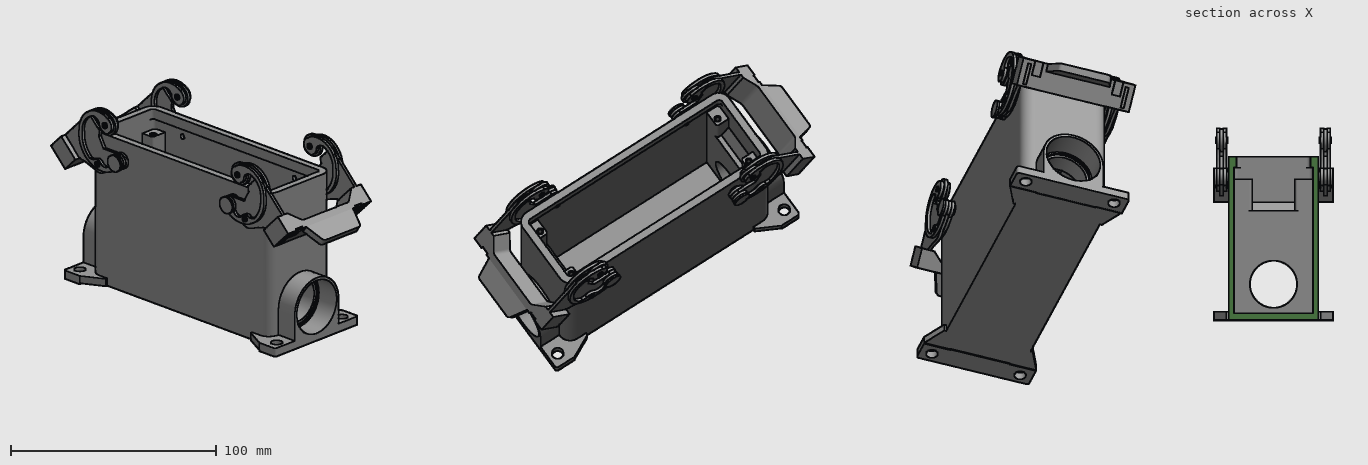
import cadquery as cq
import math


LEVER_REACH = 89.2

BODY_LENGTH = 121.4
BODY_WIDTH = 43.7
BODY_BOTTOM = 0.5
BODY_TOP = 80.0
BODY_CORNER = 6.0
END_WALL = 4.0
SIDE_WALL = 4.0
FLOOR_TOP = 3.7
CAVITY_CORNER = 1.8
CAVITY_LENGTH = BODY_LENGTH - 2 * END_WALL
CAVITY_WIDTH = BODY_WIDTH - 2 * SIDE_WALL
RIM_UNDERSIDE = 74.6
UNDERCUT = 1.2

POST_LENGTH = 7.0
POST_WIDTH = 7.5
POST_TOP = 69.0
POST_EMBEDMENT = 1.8
POST_ROUNDING = 1.2
POST_HOLE_RADIUS = 1.0
POST_HOLE_CHAMFER = 0.5
POST_HOLE_DEPTH = 14.3
POST_HOLE_INSET = 4.5
WEB_DEPTH = 4.3
WEB_TOP = 57.8

PORT_FACE = 71.8
PORT_HEIGHT = 17.8
PORT_RADIUS = 15.4
PORT_BORE_RADIUS = 14.0
PORT_BORE_END = 59.8
PORT_STEP_RADIUS = 12.9
PORT_STEP_END = 58.9
PORT_HOLE_RADIUS = 11.5

FOOT_WIDTH = 58.0
FOOT_TOP = 4.5
FOOT_CORNER = 1.2
FOOT_SHOULDER = BODY_LENGTH / 2 + 0.4
FOOT_TIP = 49.3
FOOT_TIP_HALF_WIDTH = BODY_WIDTH / 2 + 1.0
FOOT_HOLE_X = 66.8
FOOT_HOLE_Y = 22.8
FOOT_HOLE_RADIUS = 2.9

LAYER = 1.6
HOOK_INNER_Y = 22.8
PLATE_INNER_Y = HOOK_INNER_Y + LAYER
PLATE_OUTER_Y = PLATE_INNER_Y + LAYER
ARM_OUTER_Y = PLATE_OUTER_Y + LAYER
PLATE_EDGE_RUN = 15.9

PEG_X, PEG_Z = -38.0, 70.1
PEG_HEAD_RADIUS = 4.3
PEG_HEAD_OUTER_Y = 28.7
PLATE_END_RADIUS = 4.0
HOOK_END_RADIUS = 4.1
PEG_SHANK_RADIUS = 2.5
PEG_EMBEDMENT = 0.9
PEG_HOLE_RADIUS = 1.2
PEG_HOLE_DEPTH = 1.8
EYE_X, EYE_Z = -45.0, 88.0
EYE_RADIUS = 4.3
ROLLER_RADIUS = 5.5
RIVET_X, RIVET_Z = -50.0, 66.2
RIVET_HEAD_RADIUS = 1.5
RIVET_HEAD_HEIGHT = 0.5
RIVET_DIMPLE_RADIUS = 0.9

BRIDGE_X, BRIDGE_Z = -80.5, 67.5
BRIDGE_HEIGHT = 13.5
BRIDGE_THICKNESS = 3.7
BRIDGE_CHEEK_LENGTH = 9.8
BRIDGE_OPENING = 22.5
BRIDGE_OPENING_ROOT = 16.0
BRIDGE_OPENING_ROUNDING = 2.7
BRIDGE_WIDTH = FOOT_WIDTH

POCKET_INNER_Y = 18.5
POCKET_OUTER_Y = 22.8
POCKET_HEIGHT = 7.1
POCKET_DEPTH = 0.9
WINDOW_TOP = 2.0
WINDOW_HEIGHT = 10.4
WINDOW_DEPTH = 0.5

TAB_SLOPE = 33.5
TAB_THICKNESS = 3.7
TAB_ROOT_HALF_WIDTH = 16.5
TAB_TIP_HALF_WIDTH = 12.9
TAB_ROUNDING = 1.8
TAB_OVERLAP = 2.1


def both_ends(shape):
    return shape.union(shape.mirror("YZ"))


def both_sides(shape):
    return shape.union(shape.mirror("XZ"))


def box(x_range, y_range, z_range):
    size = [high - low for low, high in (x_range, y_range, z_range)]
    return cq.Workplane("XY").box(*size, centered=False).translate((x_range[0], y_range[0], z_range[0]))


def disc(x, z, radius, inner_y, outer_y):
    """Disc across the width, from inner_y to outer_y on the -Y side."""
    return cq.Workplane("XZ", origin=(x, -inner_y, z)).circle(radius).extrude(outer_y - inner_y)


def make_shell():
    height = BODY_TOP - BODY_BOTTOM
    body = cq.Workplane("XY").workplane(offset=BODY_BOTTOM)
    return body.rect(BODY_LENGTH, BODY_WIDTH).extrude(height).edges("|Z").fillet(BODY_CORNER)


def make_cavity():
    mouth = cq.Workplane("XY").workplane(offset=FLOOR_TOP)
    mouth = mouth.rect(CAVITY_LENGTH, CAVITY_WIDTH).extrude(BODY_TOP - FLOOR_TOP)
    wide = cq.Workplane("XY").workplane(offset=FLOOR_TOP)
    wide = wide.rect(CAVITY_LENGTH, CAVITY_WIDTH + 2 * UNDERCUT).extrude(RIM_UNDERSIDE - FLOOR_TOP)
    return mouth.edges("|Z").fillet(CAVITY_CORNER).union(wide.edges("|Z").fillet(CAVITY_CORNER))


def make_posts():
    wall_x, wall_y = CAVITY_LENGTH / 2, CAVITY_WIDTH / 2
    x_range = (-wall_x - POST_EMBEDMENT, -wall_x + POST_LENGTH)
    y_range = (-wall_y - POST_EMBEDMENT, -wall_y + POST_WIDTH)
    post = box(x_range, y_range, (FLOOR_TOP, POST_TOP))
    post = post.edges("|Z and >X and >Y").fillet(POST_ROUNDING)
    hole = cq.Workplane("XY", origin=(POST_HOLE_INSET - wall_x, POST_HOLE_INSET - wall_y, POST_TOP))
    post = post.cut(hole.circle(POST_HOLE_RADIUS).extrude(-POST_HOLE_DEPTH))
    cone = hole.circle(POST_HOLE_RADIUS + POST_HOLE_CHAMFER)
    post = post.cut(cone.extrude(-POST_HOLE_RADIUS - POST_HOLE_CHAMFER, taper=45))
    return both_ends(both_sides(post))


def make_webs():
    wall_x = -CAVITY_LENGTH / 2
    profile = [
        (wall_x, FLOOR_TOP),
        (wall_x, WEB_TOP),
        (wall_x + WEB_DEPTH, WEB_TOP - WEB_DEPTH),
        (wall_x + POST_LENGTH, WEB_TOP - WEB_DEPTH),
        (wall_x + POST_LENGTH, FLOOR_TOP),
    ]
    half_span = CAVITY_WIDTH / 2 - POST_WIDTH + POST_ROUNDING
    return both_ends(cq.Workplane("XZ").polyline(profile).close().extrude(half_span, both=True))


def make_feet():
    half_width = FOOT_WIDTH / 2
    pad = box((-PORT_FACE, -FOOT_SHOULDER), (-half_width, half_width), (0, FOOT_TOP))
    pad = pad.edges("|Z and <X").fillet(FOOT_CORNER)
    gusset_plan = [
        (-FOOT_SHOULDER, -half_width),
        (-FOOT_TIP, -FOOT_TIP_HALF_WIDTH),
        (-FOOT_TIP, FOOT_TIP_HALF_WIDTH),
        (-FOOT_SHOULDER, half_width),
    ]
    gusset = cq.Workplane("XY").workplane(offset=BODY_BOTTOM)
    foot = pad.union(gusset.polyline(gusset_plan).close().extrude(FOOT_TOP - BODY_BOTTOM))
    holes = cq.Workplane("XY").pushPoints([(-FOOT_HOLE_X, -FOOT_HOLE_Y), (-FOOT_HOLE_X, FOOT_HOLE_Y)])
    return both_ends(foot.cut(holes.circle(FOOT_HOLE_RADIUS).extrude(FOOT_TOP)))


def make_ports():
    length = PORT_FACE - BODY_LENGTH / 2
    start = cq.Workplane("YZ", origin=(-PORT_FACE, 0, 0))
    barrel = start.center(0, PORT_HEIGHT).circle(PORT_RADIUS).extrude(length)
    pedestal = box((-PORT_FACE, -PORT_FACE + length), (-PORT_RADIUS, PORT_RADIUS), (0, PORT_HEIGHT))
    return both_ends(barrel.union(pedestal))


def make_port_bores():
    mouth = cq.Workplane("YZ", origin=(-PORT_FACE, 0, PORT_HEIGHT))
    bore = mouth.circle(PORT_BORE_RADIUS).extrude(PORT_FACE - PORT_BORE_END)
    step = mouth.circle(PORT_STEP_RADIUS).extrude(PORT_FACE - PORT_STEP_END)
    through_hole = mouth.circle(PORT_HOLE_RADIUS).extrude(2 * PORT_FACE)
    return both_ends(bore.union(step)).union(through_hole)


def make_arm_plate():
    cheek_run = BRIDGE_CHEEK_LENGTH / math.sqrt(2)
    across_run = BRIDGE_HEIGHT / math.sqrt(2)
    cheek_top = (BRIDGE_X + cheek_run, BRIDGE_Z + cheek_run)
    cheek_bottom = (cheek_top[0] + across_run, cheek_top[1] - across_run)
    plate = (
        cq.Workplane("XZ", origin=(0, -PLATE_INNER_Y, 0))
        .moveTo(BRIDGE_X, BRIDGE_Z)
        .lineTo(cheek_top[0] + PLATE_EDGE_RUN, cheek_top[1] + PLATE_EDGE_RUN)
        .lineTo(-50.3, 83.2)
        .lineTo(-50.9, 80.1)
        .lineTo(-47.7, PEG_Z + PEG_HEAD_RADIUS)
        .lineTo(PEG_X, PEG_Z + PEG_HEAD_RADIUS)
        .lineTo(PEG_X, PEG_Z - PLATE_END_RADIUS)
        .lineTo(-47.7, 61.8)
        .threePointArc((-49.8, 61.0), (-52.3, 61.4))
        .lineTo(-60.7, 64.3)
        .lineTo(*cheek_bottom)
        .lineTo(BRIDGE_X + across_run, BRIDGE_Z - across_run)
        .close()
        .extrude(LAYER)
    )
    plate = plate.union(disc(PEG_X, PEG_Z, PLATE_END_RADIUS, PLATE_INNER_Y, PLATE_OUTER_Y))
    return plate.union(disc(EYE_X, EYE_Z, ROLLER_RADIUS, PLATE_INNER_Y, PLATE_OUTER_Y))


def make_hook(inner_y):
    """C-shaped hook from the peg round to the eye."""
    hook = (
        cq.Workplane("XZ", origin=(0, -inner_y, 0))
        .moveTo(-39.0, 65.7)
        .threePointArc((-58.5, 68.0), (-62.6, 81.2))
        .threePointArc((-50.0, 93.9), (-43.2, 92.0))
        .lineTo(EYE_X, EYE_Z)
        .lineTo(EYE_X - EYE_RADIUS, EYE_Z)
        .threePointArc((-50.7, 89.8), (-53.4, 90.5))
        .threePointArc((-58.2, 87.5), (-60.5, 79.6))
        .threePointArc((-59.3, 72.6), (-55.3, 67.6))
        .lineTo(-52.8, 67.6)
        .threePointArc((-50.2, 68.5), (-48.0, 67.3))
        .threePointArc((-45.5, 65.9), (-42.1, 68.0))
        .close()
        .extrude(LAYER)
    )
    hook = hook.union(disc(EYE_X, EYE_Z, EYE_RADIUS, inner_y, inner_y + LAYER))
    return hook.union(disc(PEG_X, PEG_Z, HOOK_END_RADIUS, inner_y, inner_y + LAYER))


def make_rivet(x, z):
    inner_y = HOOK_INNER_Y - RIVET_HEAD_HEIGHT
    outer_y = ARM_OUTER_Y + RIVET_HEAD_HEIGHT
    rivet = disc(x, z, RIVET_HEAD_RADIUS, inner_y, outer_y)
    rivet = rivet.cut(disc(x, z, RIVET_DIMPLE_RADIUS, ARM_OUTER_Y, outer_y))
    return rivet.cut(disc(x, z, RIVET_DIMPLE_RADIUS, inner_y, HOOK_INNER_Y))


def make_peg():
    shank = disc(PEG_X, PEG_Z, PEG_SHANK_RADIUS, BODY_WIDTH / 2 - PEG_EMBEDMENT, ARM_OUTER_Y)
    return shank.union(disc(PEG_X, PEG_Z, PEG_HEAD_RADIUS, ARM_OUTER_Y, PEG_HEAD_OUTER_Y))


def make_arms():
    arm = make_arm_plate().union(make_hook(HOOK_INNER_Y)).union(make_hook(PLATE_OUTER_Y))
    arm = arm.union(make_rivet(EYE_X, EYE_Z)).union(make_rivet(RIVET_X, RIVET_Z)).union(make_peg())
    return both_sides(arm)


def bridge_frame():
    """Plane at the top edge of the bridge's outer face.

    Local x runs up the 45 degree slope, local y across the housing, and the
    normal points down and inwards along the outer face.
    """
    return cq.Plane(origin=(BRIDGE_X, 0, BRIDGE_Z), xDir=(1, 0, 1), normal=(1, 0, -1))


def edges_along(shape, edge_direction, farthest_direction):
    along = cq.selectors.ParallelDirSelector(cq.Vector(*edge_direction))
    farthest = cq.selectors.DirectionMinMaxSelector(cq.Vector(*farthest_direction), True)
    return shape.edges(along).edges(farthest)


def make_bridge():
    top = cq.Workplane(bridge_frame())
    bar = top.center(BRIDGE_CHEEK_LENGTH / 2, 0).rect(BRIDGE_CHEEK_LENGTH, BRIDGE_WIDTH)
    bar = bar.extrude(BRIDGE_HEIGHT)
    outline = [
        (BRIDGE_CHEEK_LENGTH, -BRIDGE_OPENING),
        (BRIDGE_THICKNESS, -BRIDGE_OPENING_ROOT),
        (BRIDGE_THICKNESS, BRIDGE_OPENING_ROOT),
        (BRIDGE_CHEEK_LENGTH, BRIDGE_OPENING),
    ]
    opening = top.polyline(outline).close().extrude(BRIDGE_HEIGHT)
    opening = edges_along(opening, (1, 0, -1), (-1, 0, -1)).fillet(BRIDGE_OPENING_ROUNDING)
    return bar.cut(opening)


def make_bridge_recess(inner_y, outer_y, top, height, depth):
    face = cq.Workplane(bridge_frame()).workplane(offset=top)
    recess = face.center(depth / 2, -(inner_y + outer_y) / 2).rect(depth, outer_y - inner_y).extrude(height)
    return both_sides(recess)


def make_tab():
    slope = math.radians(TAB_SLOPE)
    length = (LEVER_REACH + BRIDGE_X) / math.cos(slope)
    outward = (-math.cos(slope), 0, -math.sin(slope))
    downward = (math.sin(slope), 0, -math.cos(slope))
    frame = cq.Plane(origin=(BRIDGE_X, 0, BRIDGE_Z), xDir=outward, normal=downward)
    outline = [
        (-TAB_OVERLAP, -TAB_ROOT_HALF_WIDTH),
        (0, -TAB_ROOT_HALF_WIDTH),
        (length, -TAB_TIP_HALF_WIDTH),
        (length, TAB_TIP_HALF_WIDTH),
        (0, TAB_ROOT_HALF_WIDTH),
        (-TAB_OVERLAP, TAB_ROOT_HALF_WIDTH),
    ]
    tab = cq.Workplane(frame).polyline(outline).close().extrude(TAB_THICKNESS)
    return edges_along(tab, downward, outward).fillet(TAB_ROUNDING)


def make_lever():
    pockets = make_bridge_recess(POCKET_INNER_Y, POCKET_OUTER_Y, 0, POCKET_HEIGHT, POCKET_DEPTH)
    windows = make_bridge_recess(PLATE_INNER_Y, PLATE_OUTER_Y, WINDOW_TOP, WINDOW_HEIGHT, WINDOW_DEPTH)
    bridge_with_arms = make_arms().union(make_bridge())
    return bridge_with_arms.cut(pockets).cut(windows).union(make_tab())


def make_peg_holes():
    inner_y = CAVITY_WIDTH / 2 + UNDERCUT
    return both_ends(both_sides(disc(PEG_X, PEG_Z, PEG_HOLE_RADIUS, inner_y, inner_y + PEG_HOLE_DEPTH)))


housing = make_shell().union(make_feet()).union(make_ports()).cut(make_cavity())
housing = housing.union(make_posts()).union(make_webs()).cut(make_port_bores())
result = housing.union(both_ends(make_lever())).cut(make_peg_holes())